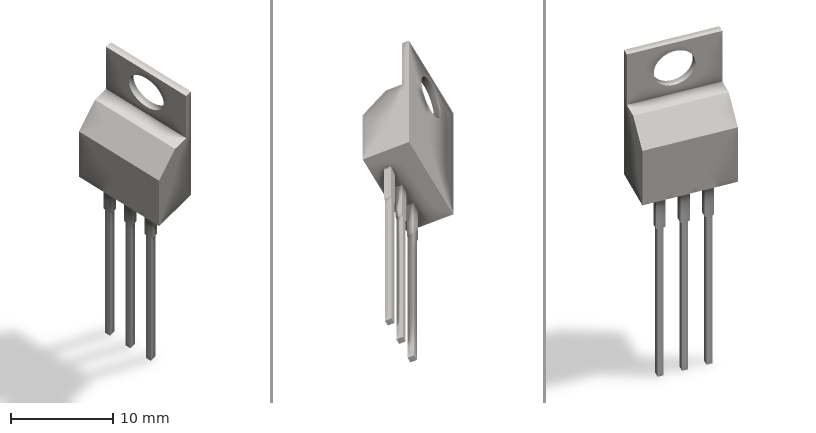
import cadquery as cq

total_height = 39.8
width = 10.0
depth = 5.0

tab_height = 6.5
tab_thickness = 0.75
hole_diameter = 4.35

housing_height = 9.5
bevel = 2.5

lead_pitch = 2.55
lead_count = 3
lead_thickness = 0.7
lead_back_distance = 3.25
shoulder_width = 1.0
shoulder_height = 4.7
taper_height = 0.1
lead_width = 0.65

housing_top = total_height - tab_height
housing_bottom = housing_top - housing_height
shoulder_bottom = housing_bottom - shoulder_height
taper_bottom = shoulder_bottom - taper_height


def make_tab():
    """Flat plate standing on the housing, flush with its back, with a central hole."""
    plate = cq.Workplane("XY").box(width, tab_thickness, tab_height, centered=(True, False, False))
    plate = plate.translate((0, -tab_thickness, housing_top))
    return plate.faces("<Y").workplane(centerOption="CenterOfBoundBox").hole(hole_diameter)


def make_housing():
    """Block with a beveled upper front edge."""
    block = cq.Workplane("XY").box(width, depth, housing_height, centered=(True, False, False))
    block = block.translate((0, -depth, housing_bottom))
    return block.faces(">Z").edges("<Y").chamfer(bevel)


def make_lead(x):
    """Stepped flat lead centred on x, wide at the housing and narrow below the tapered shoulder."""
    outline = [
        (x - shoulder_width / 2, housing_bottom),
        (x - shoulder_width / 2, shoulder_bottom),
        (x - lead_width / 2, taper_bottom),
        (x - lead_width / 2, 0),
        (x + lead_width / 2, 0),
        (x + lead_width / 2, taper_bottom),
        (x + shoulder_width / 2, shoulder_bottom),
        (x + shoulder_width / 2, housing_bottom),
    ]
    centre_plane = cq.Workplane("XZ", origin=(0, -lead_back_distance, 0))
    return centre_plane.polyline(outline).close().extrude(lead_thickness / 2, both=True)


tab = make_tab()
housing = make_housing()
leads = []
for index in range(lead_count):
    lead_x = (index - (lead_count - 1) / 2) * lead_pitch
    leads.append(make_lead(lead_x).val())

result = cq.Compound.makeCompound([tab.val(), housing.val(), *leads])